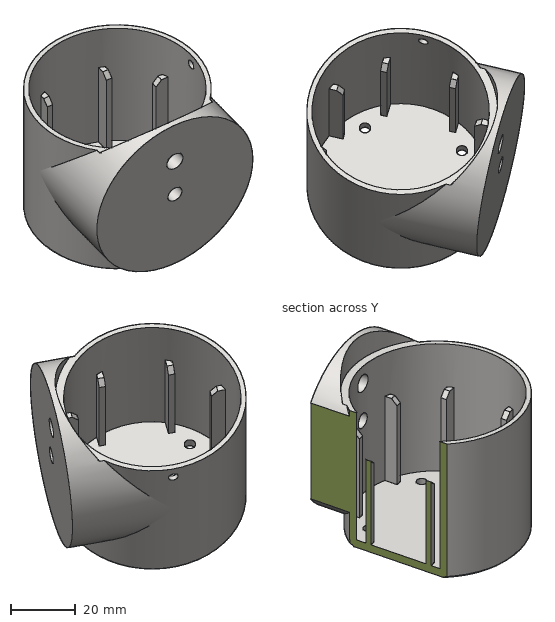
import cadquery as cq

cup_diameter = 58.0
bore_diameter = 54.8
cup_height = 50.0
floor_thickness = 3.0
bottom_chamfer = 1.0

overall_length = 61.0
boss_end_x = overall_length - cup_diameter / 2
boss_axis_z = bottom_chamfer + cup_diameter / 2
clearance_diameter = 60.0

rib_width = 2.0
rib_spacing = 21.95
rib_inner_face = 21.05
rib_top_z = 34.15
rib_chamfer = 2.0

floor_hole_diameter = 3.4
floor_hole_spacing = 31.0
center_hole_diameter = 5.2
upper_hole_diameter = 6.0
upper_hole_z = 43.8
wall_hole_diameter = 3.0
wall_hole_z = 46.0


def cylinder(diameter, bottom_z, top_z):
    return cq.Workplane("XY").workplane(offset=bottom_z).circle(diameter / 2).extrude(top_z - bottom_z)


def body():
    cup = cylinder(cup_diameter, 0, cup_height).faces("<Z").chamfer(bottom_chamfer)
    boss = (
        cq.Workplane("YZ")
        .center(0, boss_axis_z)
        .circle(cup_diameter / 2)
        .extrude(boss_end_x)
    )
    boss_top_z = boss_axis_z + cup_diameter / 2
    relief = cylinder(clearance_diameter, cup_height, boss_top_z + bottom_chamfer)
    bore = cylinder(bore_diameter, floor_thickness, cup_height)
    return cup.union(boss).cut(relief).cut(bore)


def rib():
    """One rib on the +X side, sloped at its top inner edge and buried in the cup wall."""
    middle_radius = (cup_diameter + bore_diameter) / 4
    outer_half_offset = (rib_spacing + rib_width) / 2
    rib_outer_face = (middle_radius**2 - outer_half_offset**2) ** 0.5
    return (
        cq.Workplane("XZ")
        .moveTo(rib_inner_face, floor_thickness)
        .lineTo(rib_outer_face, floor_thickness)
        .lineTo(rib_outer_face, rib_top_z)
        .lineTo(rib_inner_face + rib_chamfer, rib_top_z)
        .lineTo(rib_inner_face, rib_top_z - rib_chamfer)
        .close()
        .extrude(rib_width / 2, both=True)
    )


def floor_holes():
    return (
        cq.Workplane("XY")
        .rect(floor_hole_spacing, floor_hole_spacing, forConstruction=True)
        .vertices()
        .circle(floor_hole_diameter / 2)
        .extrude(floor_thickness)
    )


def boss_hole(diameter, z):
    """Hole from the bore through the end of the boss."""
    return cq.Workplane("YZ").center(0, z).circle(diameter / 2).extrude(boss_end_x)


def wall_hole():
    """Hole through the +Y wall only."""
    return (
        cq.Workplane("XZ")
        .center(0, wall_hole_z)
        .circle(wall_hole_diameter / 2)
        .extrude(-cup_diameter / 2)
    )


result = body()

for angle in (0, 90, 180, 270):
    for side in (-1, 1):
        placed_rib = rib().translate((0, side * rib_spacing / 2, 0))
        result = result.union(placed_rib.rotate((0, 0, 0), (0, 0, 1), angle))

result = result.cut(floor_holes())
result = result.cut(boss_hole(center_hole_diameter, boss_axis_z))
result = result.cut(boss_hole(upper_hole_diameter, upper_hole_z))
result = result.cut(wall_hole())